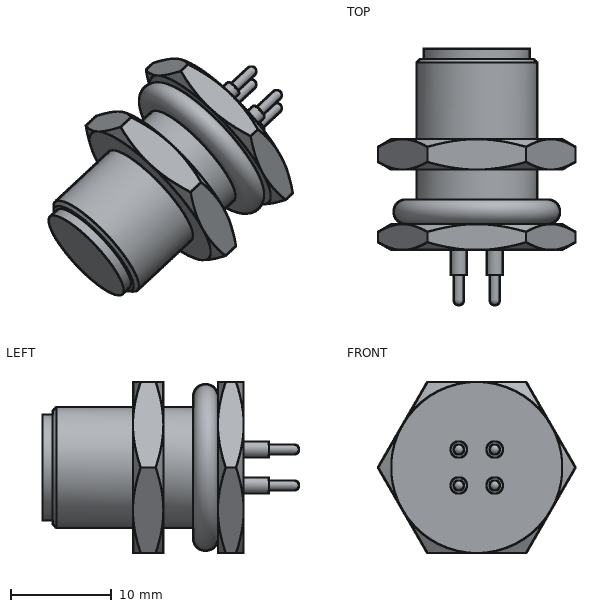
import cadquery as cq
import math


ACROSS_FLATS = 17.0
CORNER_BEVEL_ANGLE = 30.0
FLANGE_THICKNESS = 2.55
NUT_START = 7.98
NUT_THICKNESS = 3.0

SEAL_WIDTH = 2.47
SEAL_RADIUS = 8.3

BARREL_RADIUS = 6.02
BARREL_END = 18.97
BARREL_CHAMFER = 0.38
NOSE_RADIUS = 5.28
NOSE_LENGTH = 1.02

PIN_SPACING = 3.57
COLLAR_RADIUS = 0.82
COLLAR_LENGTH = 2.5
PIN_RADIUS = 0.5
OVERALL_LENGTH = 25.5
PIN_LENGTH = OVERALL_LENGTH - BARREL_END - NOSE_LENGTH


def disc(radius, start, length):
    """Cylinder about the connector axis, growing towards +Y from start."""
    return cq.Workplane("XZ", origin=(0, start, 0)).circle(radius).extrude(-length)


def bevelled_hexagon(start, thickness):
    """Hexagonal prism with corners on the X axis, bevelled on both faces."""
    corner_radius = ACROSS_FLATS / math.sqrt(3)
    flat_radius = ACROSS_FLATS / 2
    bevel_height = (corner_radius - flat_radius) * math.tan(math.radians(CORNER_BEVEL_ANGLE))
    end = start + thickness
    prism = cq.Workplane("XZ", origin=(0, start, 0)).polygon(6, 2 * corner_radius).extrude(-thickness)
    bevel_envelope = (
        cq.Workplane("XY")
        .moveTo(0, start)
        .lineTo(flat_radius, start)
        .lineTo(corner_radius, start + bevel_height)
        .lineTo(corner_radius, end - bevel_height)
        .lineTo(flat_radius, end)
        .lineTo(0, end)
        .close()
        .revolve(360, (0, 0, 0), (0, 1, 0))
    )
    return prism.intersect(bevel_envelope)


def seal_ring():
    """Ring with flat faces and a fully rounded rim."""
    start = FLANGE_THICKNESS
    end = start + SEAL_WIDTH
    face_radius = SEAL_RADIUS - SEAL_WIDTH / 2
    return (
        cq.Workplane("XY")
        .moveTo(0, start)
        .lineTo(face_radius, start)
        .threePointArc((SEAL_RADIUS, (start + end) / 2), (face_radius, end))
        .lineTo(0, end)
        .close()
        .revolve(360, (0, 0, 0), (0, 1, 0))
    )


def barrel():
    """Chamfered barrel carrying a narrower nose."""
    body = disc(BARREL_RADIUS, 0, BARREL_END).faces(">Y").chamfer(BARREL_CHAMFER)
    return body.union(disc(NOSE_RADIUS, 0, BARREL_END + NOSE_LENGTH))


def pin():
    """Collared pin with a hemispherical tip, rooted in the flange face."""
    dome_start = PIN_RADIUS - PIN_LENGTH
    diagonal = PIN_RADIUS * math.sqrt(0.5)
    collar = disc(COLLAR_RADIUS, -COLLAR_LENGTH, COLLAR_LENGTH)
    shank = (
        cq.Workplane("XY")
        .moveTo(0, 0)
        .lineTo(PIN_RADIUS, 0)
        .lineTo(PIN_RADIUS, dome_start)
        .threePointArc((diagonal, dome_start - diagonal), (0, -PIN_LENGTH))
        .close()
        .revolve(360, (0, 0, 0), (0, 1, 0))
    )
    return collar.union(shank)


result = bevelled_hexagon(0, FLANGE_THICKNESS)
result = result.union(seal_ring())
result = result.union(barrel())
result = result.union(bevelled_hexagon(NUT_START, NUT_THICKNESS))
for x_side in (-1, 1):
    for z_side in (-1, 1):
        pin_offset = (x_side * PIN_SPACING / 2, 0, z_side * PIN_SPACING / 2)
        result = result.union(pin().translate(pin_offset))